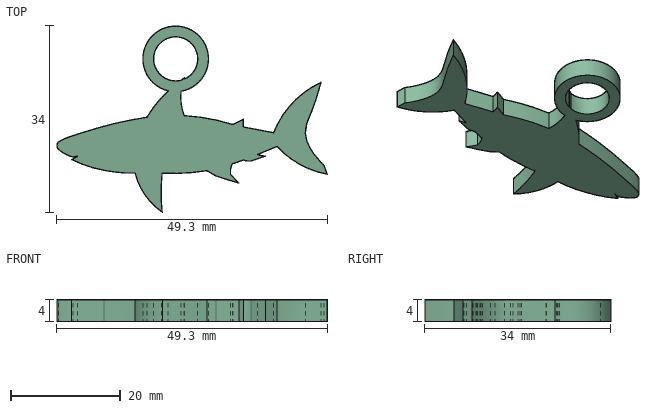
import cadquery as cq


THICKNESS = 4.0
RING_OUTER_DIAMETER = 12.0
RING_WALL = 2.0
RING_HOLE_DIAMETER = RING_OUTER_DIAMETER - 2 * RING_WALL

OVERALL_LENGTH = 49.29
OVERALL_WIDTH = 33.96

SNOUT_X = -21.65
TAIL_X = SNOUT_X + OVERALL_LENGTH
PECTORAL_TIP_Y = RING_OUTER_DIAMETER / 2 - OVERALL_WIDTH

SNOUT_Y = -15.81
SNOUT_HALF_WIDTH = 0.66
SNOUT_ROUNDING = 0.25
SNOUT_TIP = (SNOUT_X, SNOUT_Y)

SNOUT_TOP = (SNOUT_X + SNOUT_ROUNDING, SNOUT_Y + SNOUT_HALF_WIDTH)
DORSAL_FRONT = (-5.24, -10.62)
DORSAL_TIP = (1.64, -3.42)
DORSAL_REAR = (1.57, -10.32)
SECOND_DORSAL_FRONT = (10.42, -11.95)
SECOND_DORSAL_TIP = (12.36, -10.99)
SECOND_DORSAL_REAR = (12.36, -12.40)
TAIL_ROOT_TOP = (17.84, -13.44)
TAIL_TOP_TIP = (26.53, -4.25)
TAIL_LOWER_CORNER = (27.05, -19.40)
TAIL_BOTTOM_TIP = (TAIL_X, -21.04)
TAIL_ROOT_BOTTOM = (18.49, -15.98)
ANAL_NOTCH = (14.93, -17.46)
ANAL_TIP = (16.33, -17.74)
ANAL_MIDDLE = (13.76, -18.63)
ANAL_FRONT = (12.36, -18.45)
PELVIC_REAR = (10.32, -19.17)
PELVIC_HEEL = (10.04, -21.05)
PELVIC_TIP = (11.52, -22.66)
PELVIC_MIDDLE = (7.35, -21.36)
PELVIC_FRONT = (5.68, -20.40)
PECTORAL_REAR = (-2.44, -20.86)
PECTORAL_TIP = (-2.44, PECTORAL_TIP_Y)
PECTORAL_FRONT = (-7.41, -20.84)
BELLY_FRONT = (-13.03, -20.34)
JAW_TIP = (-18.95, -18.36)
MOUTH_CORNER = (-17.85, -17.72)
LIP = (-18.72, -17.92)
SNOUT_BOTTOM = (SNOUT_X + SNOUT_ROUNDING, SNOUT_Y - SNOUT_HALF_WIDTH)

BACK_CURVE = [(-20.70, -14.75), (-17.61, -13.61), (-12.29, -12.05)]
DORSAL_LEADING_CURVE = [(-3.38, -7.97), (-1.40, -5.86)]
DORSAL_TRAILING_BULGE = (0.97, -7.60)
REAR_BACK_BULGE = (6.00, -10.85)
TAIL_TOP_BULGE = (21.40, -7.90)
TAIL_FORK_CURVE = [(25.73, -7.00), (24.87, -9.40), (23.96, -11.62), (23.65, -13.57), (23.97, -15.05)]
TAIL_BOTTOM_BULGE = (22.67, -19.28)
ANAL_BELLY_BULGE = (13.01, -18.63)
PELVIC_INNER_BULGE = (10.04, -20.10)
PELVIC_OUTER_BULGE = (9.49, -22.05)
REAR_BELLY_BULGE = (2.06, -20.82)
PECTORAL_TRAILING_BULGE = (-2.62, -23.20)
PECTORAL_LEADING_BULGE = (-5.55, -24.90)
FRONT_BELLY_BULGE = (-10.30, -20.74)
THROAT_BULGE = (-16.25, -19.50)
CHIN_BULGE = (-20.65, -17.05)


def back_and_dorsal_fins(sketch):
    """Upper edge from the snout to the root of the tail."""
    return (
        sketch.spline(BACK_CURVE + [DORSAL_FRONT], includeCurrent=True)
        .spline(DORSAL_LEADING_CURVE + [DORSAL_TIP], includeCurrent=True)
        .threePointArc(DORSAL_TRAILING_BULGE, DORSAL_REAR)
        .threePointArc(REAR_BACK_BULGE, SECOND_DORSAL_FRONT)
        .lineTo(*SECOND_DORSAL_TIP)
        .lineTo(*SECOND_DORSAL_REAR)
        .lineTo(*TAIL_ROOT_TOP)
    )


def tail_fin(sketch):
    """Both lobes of the tail and the fork between them."""
    return (
        sketch.threePointArc(TAIL_TOP_BULGE, TAIL_TOP_TIP)
        .spline(TAIL_FORK_CURVE + [TAIL_LOWER_CORNER], includeCurrent=True)
        .lineTo(*TAIL_BOTTOM_TIP)
        .threePointArc(TAIL_BOTTOM_BULGE, TAIL_ROOT_BOTTOM)
    )


def anal_and_pelvic_fins(sketch):
    """The two small fins under the rear of the body."""
    return (
        sketch.lineTo(*ANAL_NOTCH)
        .lineTo(*ANAL_TIP)
        .lineTo(*ANAL_MIDDLE)
        .threePointArc(ANAL_BELLY_BULGE, ANAL_FRONT)
        .lineTo(*PELVIC_REAR)
        .threePointArc(PELVIC_INNER_BULGE, PELVIC_HEEL)
        .lineTo(*PELVIC_TIP)
        .threePointArc(PELVIC_OUTER_BULGE, PELVIC_MIDDLE)
        .lineTo(*PELVIC_FRONT)
    )


def belly_and_pectoral_fin(sketch):
    """Lower edge from the pelvic fin to the jaw."""
    return (
        sketch.threePointArc(REAR_BELLY_BULGE, PECTORAL_REAR)
        .threePointArc(PECTORAL_TRAILING_BULGE, PECTORAL_TIP)
        .threePointArc(PECTORAL_LEADING_BULGE, PECTORAL_FRONT)
        .threePointArc(FRONT_BELLY_BULGE, BELLY_FRONT)
        .threePointArc(THROAT_BULGE, JAW_TIP)
    )


def mouth_and_snout(sketch):
    """Mouth slit and chin, closed by the rounded end of the snout."""
    return (
        sketch.lineTo(*MOUTH_CORNER)
        .lineTo(*LIP)
        .threePointArc(CHIN_BULGE, SNOUT_BOTTOM)
        .threePointArc(SNOUT_TIP, SNOUT_TOP)
        .close()
    )


def make_shark():
    sketch = cq.Workplane("XY").moveTo(*SNOUT_TOP)
    sketch = back_and_dorsal_fins(sketch)
    sketch = tail_fin(sketch)
    sketch = anal_and_pelvic_fins(sketch)
    sketch = belly_and_pectoral_fin(sketch)
    sketch = mouth_and_snout(sketch)
    return sketch.extrude(THICKNESS)


def make_ring():
    return (
        cq.Workplane("XY")
        .circle(RING_OUTER_DIAMETER / 2)
        .circle(RING_HOLE_DIAMETER / 2)
        .extrude(THICKNESS)
    )


result = make_shark().union(make_ring())